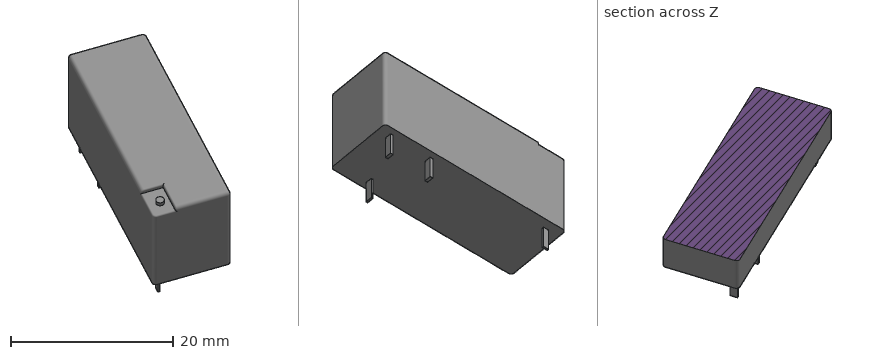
import cadquery as cq

LENGTH = 29.3
WIDTH = 10.3
TOTAL_HEIGHT = 16.1

PIN_LENGTH = 3.3
CASE_HEIGHT = TOTAL_HEIGHT - PIN_LENGTH
EDGE_RADIUS = 0.5

NOTCH_LENGTH = 4.28
NOTCH_WIDTH = 2.95
NOTCH_DEPTH = 0.53
RIM_RADIUS = 0.2

BUTTON_DIAMETER = 1.05
BUTTON_FROM_END = 2.02
BUTTON_FROM_SIDE = 1.67

ROW_INSET = 1.38
FRONT_ROW = ROW_INSET
BACK_ROW = WIDTH - ROW_INSET

PINS = [
    (1.88, FRONT_ROW, 0.4, 1.0),
    (5.1, BACK_ROW, 0.25, 1.0),
    (8.3, FRONT_ROW, 0.4, 1.0),
    (27.2, FRONT_ROW, 0.82, 0.25),
]


def corner_box(length, width, height):
    """Box with its lowest corner at the origin."""
    return cq.Workplane("XY").box(length, width, height, centered=False)


def make_case():
    """Box with rounded upright and top edges and a sharp bottom rim."""
    return corner_box(LENGTH, WIDTH, CASE_HEIGHT).edges("|Z or >Z").fillet(EDGE_RADIUS)


def cut_notch(case):
    """Cut the corner notch and round its rim, leaving its inside corners sharp."""
    notch_x = LENGTH - NOTCH_LENGTH
    floor_z = CASE_HEIGHT - NOTCH_DEPTH
    cutter = corner_box(NOTCH_LENGTH, NOTCH_WIDTH, NOTCH_DEPTH).translate((notch_x, 0, floor_z))
    notched = case.cut(cutter)

    def notch_face(point):
        return notched.faces(cq.selectors.NearestToPointSelector(point)).val()

    middle_x = notch_x + NOTCH_LENGTH / 2
    middle_y = NOTCH_WIDTH / 2
    middle_z = floor_z + NOTCH_DEPTH / 2
    walls_and_floor = [
        notch_face((middle_x, middle_y, floor_z)),
        notch_face((notch_x, middle_y, middle_z)),
        notch_face((middle_x, NOTCH_WIDTH, middle_z)),
    ]
    edges = [edge for face in walls_and_floor for edge in face.Edges()]
    rim = [edge for edge in edges if sum(edge.isSame(other) for other in edges) == 1]
    return notched.newObject(rim).fillet(RIM_RADIUS)


def make_button():
    return (
        cq.Workplane("XY", origin=(LENGTH - BUTTON_FROM_END, BUTTON_FROM_SIDE, CASE_HEIGHT - NOTCH_DEPTH))
        .circle(BUTTON_DIAMETER / 2)
        .extrude(NOTCH_DEPTH)
    )


def make_pin(center_x, center_y, size_x, size_y):
    """Flat pin hanging from the underside of the case."""
    return cq.Workplane("XY", origin=(center_x, center_y, 0)).rect(size_x, size_y).extrude(-PIN_LENGTH)


result = cut_notch(make_case()).union(make_button())
for pin in PINS:
    result = result.union(make_pin(*pin))